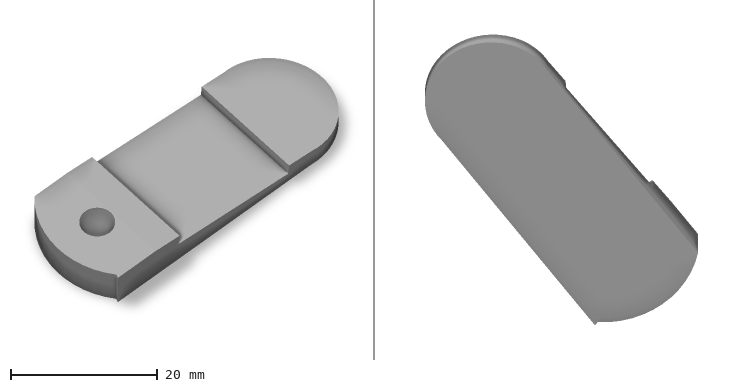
import cadquery as cq
import math

length = 48.0
width = 17.95
height = 5.5
half_width = width / 2
near_end = -length / 2
far_end = length / 2

far_radius = 9.05
near_radius = 13.25
lip_width = 0.6
lip_drop = 0.2

slope_angle = 5.0
flat_length = 9.6
ramp_to_recess = 4.45
recess_length = 20.05
recess_depth = 1.75

dimple_radius = 2.45
dimple_from_end = 7.0


def near_arc_y(x):
    """Y of the shallow end arc at a given X."""
    return near_end + near_radius - math.sqrt(near_radius**2 - x**2)


def make_blank():
    """Full-height plate with one deep and one shallow rounded end."""
    far_center_y = far_end - far_radius
    far_corner_y = far_center_y - math.sqrt(far_radius**2 - half_width**2)
    lip_x = half_width - lip_width
    lip_y = near_arc_y(lip_x)
    return (
        cq.Workplane("XY")
        .moveTo(-half_width, near_arc_y(half_width))
        .threePointArc((0, near_end), (lip_x, lip_y))
        .lineTo(half_width, lip_y - lip_drop)
        .lineTo(half_width, far_corner_y)
        .threePointArc((0, far_end), (-half_width, far_corner_y))
        .close()
        .extrude(height)
    )


def make_slope_cutter():
    """Material above the sloping top, including the recess square to the slope."""
    above_slope = cq.Workplane("XY").box(2 * width, length, height, centered=(True, False, False))
    recess = (
        cq.Workplane("XY")
        .box(2 * width, recess_length, 2 * recess_depth, centered=(True, False, True))
        .translate((0, ramp_to_recess, 0))
    )
    return (
        above_slope.union(recess)
        .rotate((0, 0, 0), (1, 0, 0), -slope_angle)
        .translate((0, near_end + flat_length, height))
    )


def make_dimple():
    """Sphere centered on the level top, leaving a hemispherical dimple."""
    return cq.Workplane("XY").sphere(dimple_radius).translate((0, near_end + dimple_from_end, height))


result = make_blank().cut(make_slope_cutter()).cut(make_dimple())